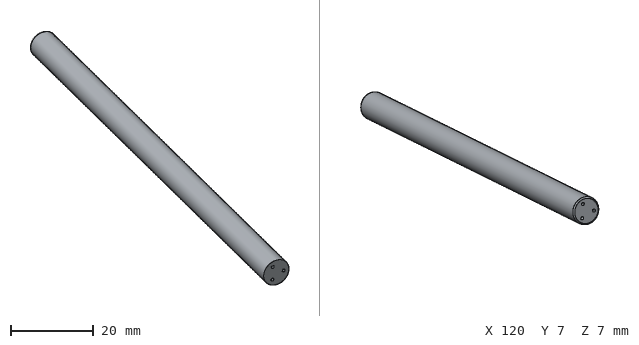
import cadquery as cq

length = 120.0
diameter = 7.0
chamfer = 0.4

channel_count = 3
channel_diameter = 0.7
channel_circle_radius = 2.0
channel_pitch = 38.0
first_channel_angle = 183.0

end_plane = cq.Workplane("YZ", origin=(-length / 2, 0, 0))


def make_rod():
    """Solid rod centred on the origin, chamfered at its -X end."""
    rod = end_plane.circle(diameter / 2).extrude(length)
    return rod.faces("<X").chamfer(chamfer)


def make_channels():
    """Channels that twist together about the rod axis."""
    twist = 360 * length / channel_pitch
    return (
        end_plane
        .polarArray(channel_circle_radius, first_channel_angle, 360, channel_count)
        .circle(channel_diameter / 2)
        .twistExtrude(length, twist)
    )


result = make_rod().cut(make_channels())